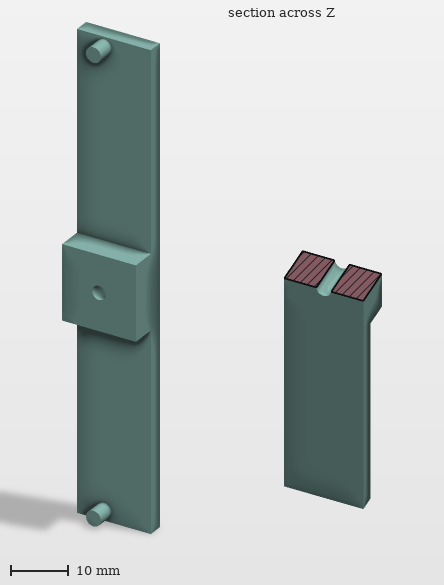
import cadquery as cq

length = 95.0
width = 15.0
total_depth = 8.0
plate_thickness = 3.0

block_side = width
hole_diameter = 2.8

pin_diameter = 3.0
pin_height = 3.5
pin_side_offset = 5.5
pin_end_offset = 2.0

block_height = total_depth - plate_thickness
pin_x = pin_side_offset - width / 2
pin_z = length / 2 - pin_end_offset


def front_plane():
    """Workplane on the plate's front face, with its normal along -Y."""
    return cq.Workplane("XZ")


plate = front_plane().rect(width, length).extrude(-plate_thickness)
block = front_plane().rect(block_side, block_side).extrude(block_height)
pins = (
    front_plane()
    .pushPoints([(pin_x, pin_z), (pin_x, -pin_z)])
    .circle(pin_diameter / 2)
    .extrude(pin_height)
)
hole = (
    front_plane()
    .workplane(offset=-plate_thickness)
    .circle(hole_diameter / 2)
    .extrude(total_depth)
)

result = plate.union(block).union(pins).cut(hole)